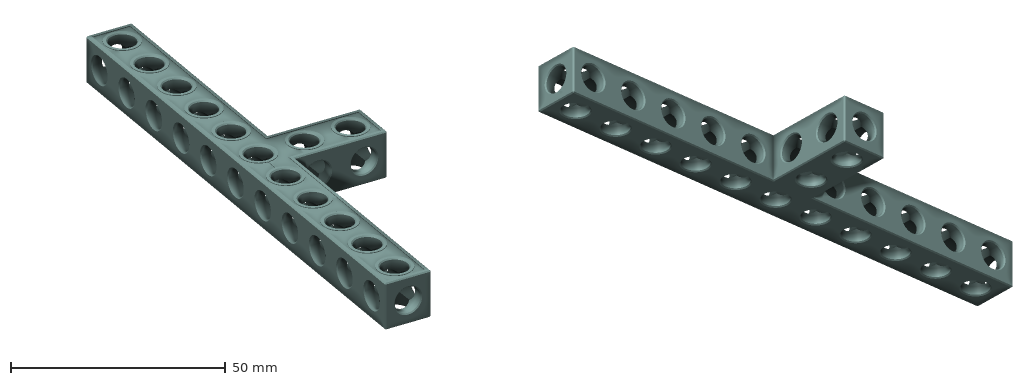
import cadquery as cq

pitch = 12.5
beam_cells = 11
branch_cells = 2
hole_diameter = 7.0
edge_chamfer = 0.3
border_width = 1.1
ring_diameter = 9.2
recess_depth = 0.2
rib_width = 0.2

beam_length = beam_cells * pitch
branch_reach = branch_cells * pitch
half_pitch = pitch / 2

beam_x = [(i - (beam_cells - 1) / 2) * pitch for i in range(beam_cells)]
branch_y = [(i + 1) * pitch for i in range(branch_cells)]
hole_centres = [(x, 0) for x in beam_x] + [(0, y) for y in branch_y]


def tee_prism(inset, bottom, top):
    """Tee-shaped prism between two heights, its outline moved inward by inset."""
    height = top - bottom
    width = pitch - 2 * inset
    beam = cq.Workplane("XY").box(beam_length - 2 * inset, width, height)
    branch = cq.Workplane("XY").box(width, branch_reach, height)
    branch = branch.translate((0, half_pitch - inset + branch_reach / 2, 0))
    return beam.union(branch).translate((0, 0, (bottom + top) / 2))


def tee_body():
    """Bevelled tee; the two inside corners at the branch root stay sharp."""
    body = tee_prism(0, -half_pitch, half_pitch)
    inside_corners = cq.selectors.BoxSelector((-pitch, 0, -pitch), (pitch, pitch, pitch))
    outside_corners = cq.selectors.InverseSelector(inside_corners)
    upright_edges = body.edges("|Z").edges(outside_corners).vals()
    flat_edges = body.faces("<Z or >Z").edges().vals()
    return body.newObject(upright_edges + flat_edges).chamfer(edge_chamfer)


def top_recess():
    """Shallow pocket in the top face, sparing the border, the hole rings and the rib."""
    floor = half_pitch - recess_depth
    pocket = tee_prism(border_width, floor, half_pitch)
    plane = cq.Workplane("XY", origin=(0, 0, floor))
    rings = plane.pushPoints(hole_centres).circle(ring_diameter / 2).extrude(recess_depth)
    rib = plane.center(half_pitch, 0).rect(pitch, rib_width).extrude(recess_depth)
    return pocket.cut(rings).cut(rib)


def bevelled_bore(start, direction, length):
    """Round cutter from start along direction, flared 45 degrees at both ends."""
    radius = hole_diameter / 2
    mouth_radius = radius + edge_chamfer
    origin = cq.Vector(*start)
    axis = cq.Vector(*direction)
    far_end = origin + axis * length
    bore = cq.Solid.makeCylinder(radius, length, origin, axis)
    near_flare = cq.Solid.makeCone(mouth_radius, radius, edge_chamfer, origin, axis)
    far_flare = cq.Solid.makeCone(mouth_radius, radius, edge_chamfer, far_end, axis * -1)
    return cq.Workplane(bore.fuse(near_flare, far_flare))


body = tee_body().cut(top_recess())

for x, y in hole_centres:
    body = body.cut(bevelled_bore((x, y, -half_pitch), (0, 0, 1), pitch))

for x in beam_x:
    depth = pitch + branch_reach if x == 0 else pitch
    body = body.cut(bevelled_bore((x, -half_pitch, 0), (0, 1, 0), depth))

body = body.cut(bevelled_bore((-beam_length / 2, 0, 0), (1, 0, 0), beam_length))
for y in branch_y:
    body = body.cut(bevelled_bore((-half_pitch, y, 0), (1, 0, 0), pitch))

result = body